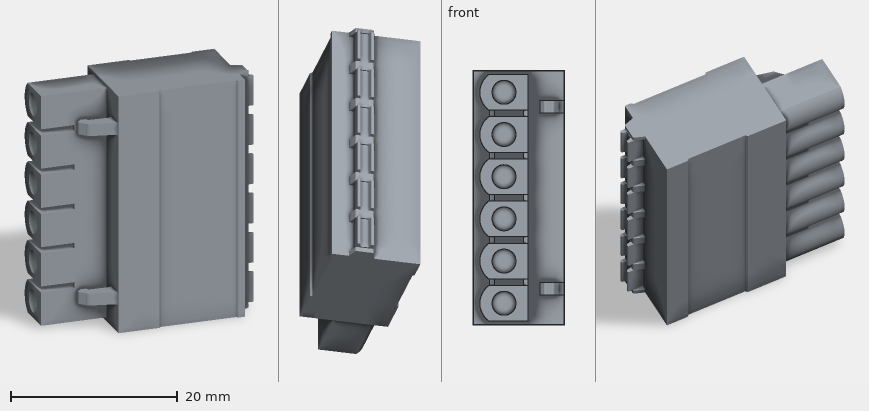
import cadquery as cq

pole_count = 6
pole_pitch = 5.05

body_width = 10.9
body_depth = 16.12
body_height = 30.48
body_half = body_width / 2
waist_recess = 0.25
waist_ramp = 0.25
front_land = 5.18
left_back_land = 2.8
right_back_land = 0.82

barrel_length = 8.32
barrel_height = 4.27
barrel_left = 0.8 - body_half
barrel_right = 6.58 - body_half
arch_rise = 1.07
bore_x = 3.7 - body_half
bore_diameter = 2.85
bore_depth = 1.22

web_length = 4.02
web_thickness = 0.58
web_setback = 0.1
web_left = barrel_left + arch_rise + web_setback
web_right = barrel_right - web_thickness

latch_thickness = 1.52
latch_offset = 10.9
latch_inner = 3.02
latch_outer = 4.9
latch_root_radius = 0.4

ridge_x = 1.77
ridge_base_width = 3.17
ridge_top_width = 2.2
ridge_rise = 1.37
ridge_rounding = 0.18
tab_height = 3.8
tab_width = 2.07
tab_rise = 2.05
prong_base = 0.55
prong_tip = 0.37
prong_rounding = 0.12
slit = 0.12

pole_heights = [(i - (pole_count - 1) / 2) * pole_pitch for i in range(pole_count)]


def extrude_along_z(outline, height, center_z):
    return outline.extrude(height).translate((0, 0, center_z - height / 2))


def make_body():
    waist_half = body_half - waist_recess
    waist_front = front_land + waist_ramp
    left_step = body_depth - left_back_land
    right_step = body_depth - right_back_land
    outline = cq.Workplane("XY").polyline([
        (-body_half, 0),
        (body_half, 0),
        (body_half, front_land),
        (waist_half, waist_front),
        (waist_half, right_step - waist_ramp),
        (body_half, right_step),
        (body_half, body_depth),
        (-body_half, body_depth),
        (-body_half, left_step),
        (-waist_half, left_step - waist_ramp),
        (-waist_half, waist_front),
        (-body_half, front_land),
    ]).close()
    return extrude_along_z(outline, body_height, 0)


def make_barrel(center_z):
    flat_start = barrel_left + arch_rise
    half = barrel_height / 2
    outline = (
        cq.Workplane("XZ")
        .moveTo(flat_start, center_z - half)
        .lineTo(barrel_right, center_z - half)
        .lineTo(barrel_right, center_z + half)
        .lineTo(flat_start, center_z + half)
        .threePointArc((barrel_left, center_z), (flat_start, center_z - half))
        .close()
    )
    return outline.extrude(barrel_length)


def make_bore(center_z):
    bore = cq.Workplane("XZ").center(bore_x, center_z).circle(bore_diameter / 2).extrude(bore_depth)
    return bore.translate((0, bore_depth - barrel_length, 0))


def make_web(left):
    span = (pole_count - 1) * pole_pitch
    return cq.Workplane("XY").box(web_thickness, web_length, span).translate(
        (left + web_thickness / 2, -web_length / 2, 0)
    )


def make_latch(center_z):
    outline = (
        cq.Workplane("XY")
        .moveTo(latch_inner - latch_root_radius, 0)
        .radiusArc((latch_inner, -latch_root_radius), latch_root_radius)
        .lineTo(2.93, -2.9)
        .lineTo(2.53, -3.17)
        .lineTo(2.53, -3.8)
        .lineTo(2.95, -4.2)
        .threePointArc((3.17, -4.33), (3.4, -4.2))
        .lineTo(4.0, -3.63)
        .threePointArc((4.2, -3.45), (4.33, -3.17))
        .lineTo(latch_outer, -latch_root_radius)
        .tangentArcPoint((latch_outer + latch_root_radius, 0), relative=False)
        .close()
    )
    return extrude_along_z(outline, latch_thickness, center_z)


def make_ridge():
    outline = cq.Workplane("XY").polyline([
        (ridge_x - ridge_base_width / 2, body_depth),
        (ridge_x + ridge_base_width / 2, body_depth),
        (ridge_x + ridge_top_width / 2, body_depth + ridge_rise),
        (ridge_x - ridge_top_width / 2, body_depth + ridge_rise),
    ]).close()
    ridge = extrude_along_z(outline, body_height, 0)
    return ridge.faces(">Y").edges("|Z").fillet(ridge_rounding)


def make_tab_gap(center_z):
    """Cutter that clears the ridge for a tab, with a slit above it and, on the lowest tab, also below."""
    low = center_z - tab_height / 2
    high = center_z + tab_height / 2 + slit
    if center_z == pole_heights[0]:
        low -= slit
    gap = cq.Workplane("XY").box(ridge_base_width, ridge_rise, high - low)
    return gap.translate((ridge_x, body_depth + ridge_rise / 2, (low + high) / 2))


def make_tab(center_z):
    half = tab_width / 2
    floor_y = body_depth + ridge_rise
    tip_y = body_depth + tab_rise
    outline = cq.Workplane("XY").polyline([
        (ridge_x - half, body_depth),
        (ridge_x + half, body_depth),
        (ridge_x + half, tip_y),
        (ridge_x + half - prong_tip, tip_y),
        (ridge_x + half - prong_base, floor_y),
        (ridge_x - half + prong_base, floor_y),
        (ridge_x - half + prong_tip, tip_y),
        (ridge_x - half, tip_y),
    ]).close()
    tab = extrude_along_z(outline, tab_height, center_z)
    return tab.faces(">Y").edges("|Z").fillet(prong_rounding)


ridge = make_ridge()
for z in pole_heights:
    ridge = ridge.cut(make_tab_gap(z))

result = make_body().union(ridge)
for z in pole_heights:
    result = result.union(make_tab(z)).union(make_barrel(z))
for left in (web_left, web_right):
    result = result.union(make_web(left))
for z in (-latch_offset, latch_offset):
    result = result.union(make_latch(z))
for z in pole_heights:
    result = result.cut(make_bore(z))